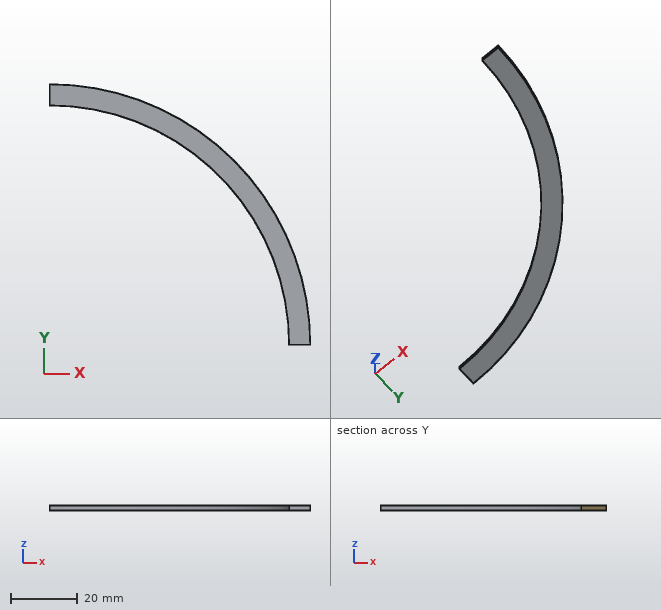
import cadquery as cq

outer_radius = 78.85
band_width = 6.5
thickness = 1.6
inner_radius = outer_radius - band_width

quadrant = cq.Workplane("XY").rect(outer_radius, outer_radius, centered=False).extrude(thickness)
ring = cq.Workplane("XY").circle(outer_radius).circle(inner_radius).extrude(thickness)

result = ring.intersect(quadrant)